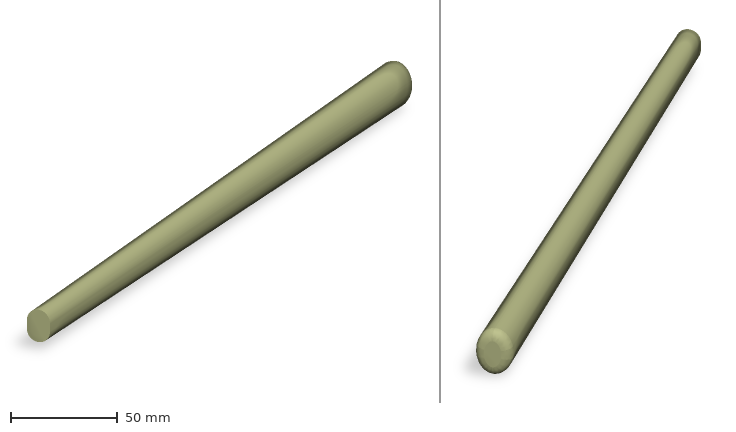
import cadquery as cq

length = 400.0

butt_width = 18.0
butt_height = 23.0
tip_width = 12.0
tip_height = 16.0
butt_rounding = 5.0


def tapered_bar():
    """Bar lofted from an ellipse at the +Y butt to a straight-sided slot shape at the -Y tip."""
    return (
        cq.Workplane("XZ", origin=(0, length / 2, 0))
        .ellipse(butt_width / 2, butt_height / 2)
        .workplane(offset=length)
        .slot2D(tip_height, tip_width, angle=90)
        .loft(ruled=True)
    )


def round_butt(bar):
    """Round the rim of the wide end; the tip stays a flat face."""
    return bar.faces(">Y").edges().fillet(butt_rounding)


result = round_butt(tapered_bar())